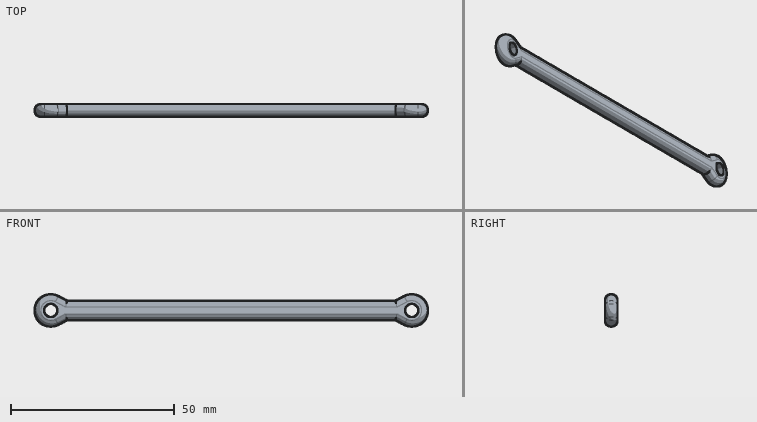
import cadquery as cq
import math

length = 120.0
thickness = 4.0
eye_diameter = 10.0
hole_diameter = 4.0
bar_height = 6.0

eye_radius = eye_diameter / 2
rim_radius = thickness / 2
eye_x = length / 2 - eye_radius

neck_end = eye_radius
tangent_angle = (math.atan2(bar_height / 2, neck_end)
                 + math.acos(eye_radius / math.hypot(neck_end, bar_height / 2)))
neck_slope = math.pi / 2 - tangent_angle

flat_eye_radius = eye_radius - rim_radius
flat_half_height = bar_height / 2 - rim_radius
corner_x = eye_x - neck_end + rim_radius * math.tan(neck_slope / 2)
tangent_x = eye_x - flat_eye_radius * math.cos(tangent_angle)
tangent_z = flat_eye_radius * math.sin(tangent_angle)


def half_path():
    """Right half of the flat outline in the mid-plane, from the top of the bar around the eye."""
    return (
        cq.Workplane("XZ")
        .moveTo(0, flat_half_height)
        .lineTo(corner_x, flat_half_height)
        .lineTo(tangent_x, tangent_z)
        .threePointArc((eye_x + flat_eye_radius, 0), (tangent_x, -tangent_z))
        .lineTo(corner_x, -flat_half_height)
        .lineTo(0, -flat_half_height)
    )


def rounded_rim():
    """Half-round bead swept along the half outline, mitred where the neck meets the bar."""
    return (
        cq.Workplane("YZ")
        .moveTo(-rim_radius, flat_half_height)
        .threePointArc((0, bar_height / 2), (rim_radius, flat_half_height))
        .close()
        .sweep(half_path(), transition="right")
    )


core = half_path().close().extrude(rim_radius, both=True)
half_link = core.union(rounded_rim())
link = half_link.union(half_link.mirror("YZ")).clean()

holes = (
    cq.Workplane("XZ")
    .pushPoints([(-eye_x, 0), (eye_x, 0)])
    .circle(hole_diameter / 2)
    .extrude(thickness, both=True)
)

result = link.cut(holes)